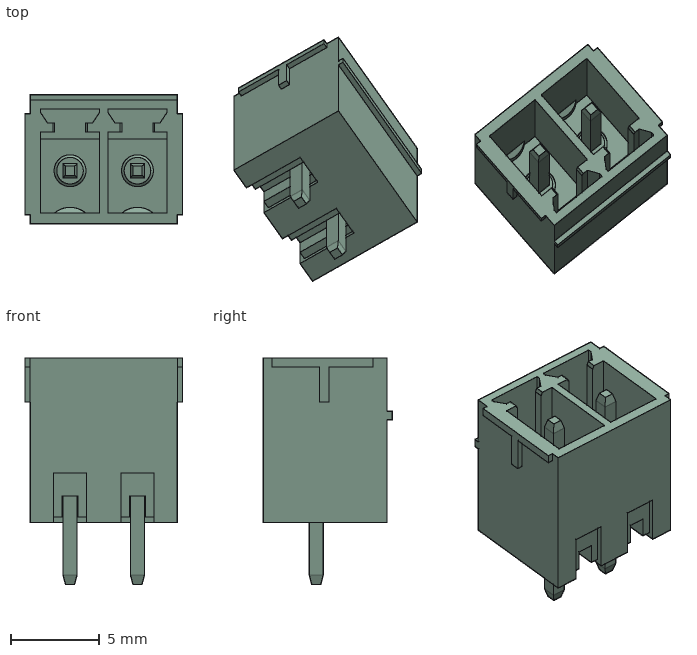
import cadquery as cq


pole_count = 2
pitch = 3.81
row_length = (pole_count - 1) * pitch
pole_positions = [i * pitch - row_length / 2 for i in range(pole_count)]

housing_width = 8.32
housing_depth = 7.0
housing_height = 9.3
front_y = -3.0
back_y = front_y + housing_depth

cavity_width = 3.35
front_wall = 0.6
back_wall = 0.5
floor_z = 2.3
rear_floor_z = 1.9
rear_floor_depth = 1.7
cavity_front_y = front_y + front_wall
cavity_back_y = back_y - back_wall

post_reach = 0.8
post_thickness = 0.5
post_front_y = back_y - 1.8
post_back_y = post_front_y + post_thickness
dovetail_reach = 0.4
dovetail_start_y = cavity_back_y - 0.2
post_lead_in_width = 0.1
post_lead_in_height = 0.2

collar_diameter = 1.8
collar_height = 0.3
collar_chamfer = 0.15

bulge_radius = 1.36
bulge_reach = 0.33
bulge_height = 0.7
bulge_top_drop = 0.2

pin_size = 0.8
pin_tip_size = 0.52
pin_taper = 0.53
pin_top_z = 9.1
pin_bottom_z = -3.5

notch_width = 1.85
notch_height = 2.8
notch_depth = 0.3
slot_width = 0.9
slot_height = 1.5
standoff = 0.3
relief_back_y = 0.6

key_thickness = 0.3
key_bar_length = 5.72
key_bar_height = 0.5
key_bar_front_y = front_y + 0.5
key_stem_width = 0.55
key_stem_height = 2.5
key_stem_front_y = front_y + 3.18
rib_thickness = 0.3
rib_height = 0.5
rib_bottom_z = 5.8


def block(x_min, x_max, y_min, y_max, z_min, z_max):
    """Axis-aligned box given by its limits."""
    return (
        cq.Workplane("XY")
        .box(x_max - x_min, y_max - y_min, z_max - z_min, centered=False)
        .translate((x_min, y_min, z_min))
    )


def centred_block(x, width, y_min, y_max, z_min, z_max):
    """Box of the given width centred on x."""
    return block(x - width / 2, x + width / 2, y_min, y_max, z_min, z_max)


def make_housing():
    """Plain housing block with the rib across its back."""
    body = centred_block(0, housing_width, front_y, back_y, 0, housing_height)
    rib = centred_block(
        0, housing_width, back_y, back_y + rib_thickness, rib_bottom_z, rib_bottom_z + rib_height
    )
    return body.union(rib)


def make_end_keys():
    """T-shaped keys on both ends; each bar runs across to the other end."""
    key_width = housing_width + 2 * key_thickness
    bar = centred_block(
        0,
        key_width,
        key_bar_front_y,
        key_bar_front_y + key_bar_length,
        housing_height - key_bar_height,
        housing_height,
    )
    stem = centred_block(
        0,
        key_width,
        key_stem_front_y,
        key_stem_front_y + key_stem_width,
        housing_height - key_stem_height,
        housing_height,
    )
    return bar.union(stem)


def make_post(side):
    """Post and dovetail flank on one cavity side wall; side is -1 or +1."""
    wall_x = side * cavity_width / 2
    tip_x = wall_x - side * post_reach
    flank_x = wall_x - side * dovetail_reach
    post = (
        cq.Workplane("XY", origin=(0, 0, rear_floor_z))
        .moveTo(wall_x, post_front_y)
        .lineTo(tip_x, post_front_y)
        .lineTo(tip_x, post_back_y)
        .lineTo(flank_x, post_back_y)
        .lineTo(wall_x, dovetail_start_y)
        .close()
        .extrude(housing_height - rear_floor_z)
    )
    lead_in = (
        cq.Workplane("XZ", origin=(0, post_back_y, 0))
        .moveTo(tip_x, housing_height)
        .lineTo(tip_x + side * post_lead_in_width, housing_height)
        .lineTo(tip_x, housing_height - post_lead_in_height)
        .close()
        .extrude(post_thickness)
    )
    return post.cut(lead_in)


def make_bulge():
    """Rounded bulge on the front wall whose top slopes down into the cavity."""
    centre_y = cavity_front_y + bulge_reach - bulge_radius
    inner_y = cavity_front_y + bulge_reach
    cylinder = (
        cq.Workplane("XY", origin=(0, centre_y, floor_z)).circle(bulge_radius).extrude(bulge_height)
    )
    profile = (
        cq.Workplane("YZ")
        .moveTo(cavity_front_y, floor_z)
        .lineTo(inner_y, floor_z)
        .lineTo(inner_y, floor_z + bulge_height - bulge_top_drop)
        .lineTo(cavity_front_y, floor_z + bulge_height)
        .close()
        .extrude(bulge_radius, both=True)
    )
    return cylinder.intersect(profile)


def make_collar():
    """Chamfered collar around a pin."""
    return (
        cq.Workplane("XY", origin=(0, 0, floor_z))
        .circle(collar_diameter / 2)
        .extrude(collar_height)
        .faces(">Z")
        .chamfer(collar_chamfer)
    )


def make_cavity():
    """Open space of one pole, with its posts, collar and bulge left standing."""
    rear_y = cavity_back_y - rear_floor_depth
    cavity = centred_block(0, cavity_width, cavity_front_y, cavity_back_y, floor_z, housing_height)
    rear = centred_block(0, cavity_width, rear_y, cavity_back_y, rear_floor_z, housing_height)
    cavity = cavity.union(rear)
    for side in (-1, 1):
        cavity = cavity.cut(make_post(side))
    return cavity.cut(make_collar()).cut(make_bulge())


def make_foot_opening():
    """Stepped notch in the front wall, slot for the pin and shallow relief below."""
    notch = centred_block(0, notch_width, front_y, front_y + notch_depth, 0, notch_height)
    slot = centred_block(0, slot_width, front_y, relief_back_y, 0, slot_height)
    relief = centred_block(0, notch_width, front_y, relief_back_y, 0, standoff)
    return notch.union(slot).union(relief)


def make_pin():
    """Square pin with a tapered tip at both ends."""
    shank_bottom = pin_bottom_z + pin_taper
    shank_top = pin_top_z - pin_taper
    shank = centred_block(0, pin_size, -pin_size / 2, pin_size / 2, shank_bottom, shank_top)
    pin = shank
    for end in (">Z", "<Z"):
        tip = (
            shank.faces(end)
            .workplane()
            .rect(pin_size, pin_size)
            .workplane(offset=pin_taper)
            .rect(pin_tip_size, pin_tip_size)
            .loft(combine=False)
        )
        pin = pin.union(tip)
    return pin


cavity = make_cavity()
foot_opening = make_foot_opening()
pin = make_pin()

result = make_housing().union(make_end_keys())
for pole_x in pole_positions:
    result = result.cut(cavity.translate((pole_x, 0, 0)))
    result = result.cut(foot_opening.translate((pole_x, 0, 0)))
    result = result.union(pin.translate((pole_x, 0, 0)))